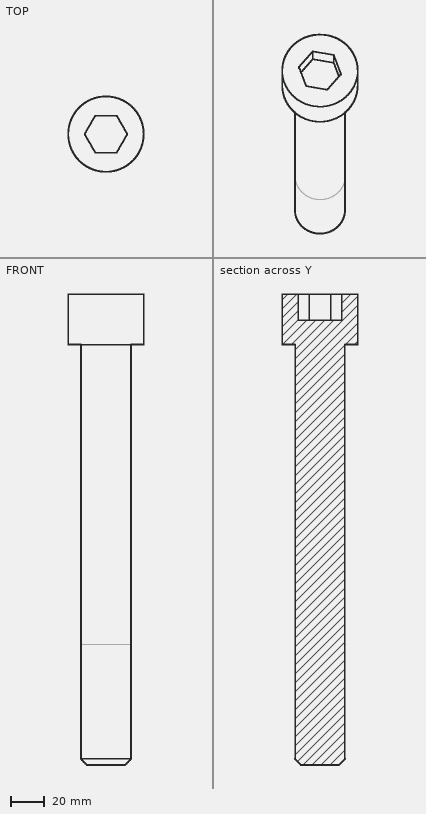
import cadquery as cq
import math

thread_diameter = 30.0
length = 250.0
thread_length = 72.0
head_diameter = 1.5 * thread_diameter
head_height = thread_diameter

tip_chamfer = 3.7

socket_across_flats = 22.0
socket_depth = 15.5


def make_body():
    """Revolve the half outline of head, plain shank and threaded end."""
    shank_radius = thread_diameter / 2
    head_radius = head_diameter / 2
    return (
        cq.Workplane("XZ")
        .moveTo(0, head_height)
        .lineTo(head_radius, head_height)
        .lineTo(head_radius, 0)
        .lineTo(shank_radius, 0)
        .lineTo(shank_radius, thread_length - length)
        .lineTo(shank_radius, tip_chamfer - length)
        .lineTo(shank_radius - tip_chamfer, -length)
        .lineTo(0, -length)
        .close()
        .revolve(360, (0, 0), (0, 1), clean=False)
    )


def make_socket():
    """Hexagonal prism that sinks into the top of the head."""
    across_corners = socket_across_flats / math.cos(math.pi / 6)
    return (
        cq.Workplane("XY")
        .workplane(offset=head_height - socket_depth)
        .polygon(6, across_corners)
        .extrude(socket_depth)
    )


result = make_body().cut(make_socket(), clean=False)